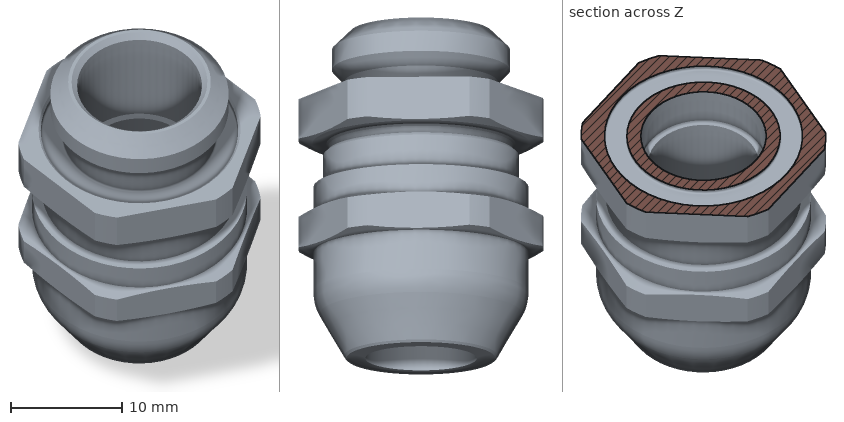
import cadquery as cq
import math


TOTAL_HEIGHT = 29.9
CAP_HEX_BOTTOM = 9.67
CAP_HEX_TOP = 13.2
CAP_TOP = 15.7
BODY_TOP = 18.9
BODY_HEX_BOTTOM = 19.7
BODY_HEX_TOP = 23.65
DOME_TOP = 6.07

CAP_RADIUS = 9.66
BODY_RADIUS = 8.78
RELIEF_RADIUS = 8.23
SPIGOT_RADIUS = 6.9
RIM_RADIUS = 8.0
RIM_TOP_RADIUS = 6.4
ENTRY_BORE_RADIUS = 5.6
THROUGH_BORE_RADIUS = 5.0

HEX_ACROSS_FLATS = 20.0
HEX_HALF_ANGLE = math.radians(30)
HEX_CORNER_RADIUS = 11.0
HEX_CHAMFER_ANGLE = math.radians(15)
BODY_HEX_FACE_RADIUS = 9.75

DOME_RADIUS = 4.0
CAP_CONE_ANGLE = math.radians(30)
CAP_END_CHAMFER = 0.2

BODY_CHAMFER = 0.3
RELIEF_CHAMFER = 0.18
RIM_TOP_DROP = 1.57
RIM_WIDTH = 1.85
BORE_CHAMFER = 0.49

RECESS_DEPTH = 0.75
RECESS_RADIUS = 8.86
RECESS_CHAMFER = 0.2
RECESS_FILLET = 0.18


def profile_start(radius, z):
    """Start a half profile in the XZ plane, where local x is radius and local y is Z."""
    return cq.Workplane("XZ").moveTo(radius, z)


def spin(profile):
    """Close a half profile and revolve it around the Z axis."""
    return profile.close().revolve(360, (0, 0, 0), (0, 1, 0))


def arc_inset(radius):
    """Distance from each of the two tangent sides of a quarter arc to the middle of the arc."""
    return radius * (1 - math.sqrt(0.5))


def cap_nut():
    """Domed cap nut without its hexagon."""
    dome_bottom = DOME_TOP - DOME_RADIUS * math.sin(CAP_CONE_ANGLE)
    dome_bottom_radius = CAP_RADIUS - DOME_RADIUS * (1 - math.cos(CAP_CONE_ANGLE))
    half_angle = CAP_CONE_ANGLE / 2
    dome_middle = (
        CAP_RADIUS - DOME_RADIUS * (1 - math.cos(half_angle)),
        DOME_TOP - DOME_RADIUS * math.sin(half_angle),
    )
    cone_height = dome_bottom - CAP_END_CHAMFER
    cone_end_radius = dome_bottom_radius - cone_height * math.tan(CAP_CONE_ANGLE)
    profile = (
        profile_start(0, 0)
        .lineTo(cone_end_radius - CAP_END_CHAMFER, 0)
        .lineTo(cone_end_radius, CAP_END_CHAMFER)
        .lineTo(dome_bottom_radius, dome_bottom)
        .threePointArc(dome_middle, (CAP_RADIUS, DOME_TOP))
        .lineTo(CAP_RADIUS, CAP_TOP)
        .lineTo(0, CAP_TOP)
    )
    return spin(profile)


def body_barrel():
    """Cylindrical body with its chamfered edge and the relief groove under the hexagon."""
    chamfer_radius = BODY_RADIUS - BODY_CHAMFER
    groove_top = BODY_HEX_BOTTOM - RELIEF_CHAMFER
    lower_arc_radius = chamfer_radius - RELIEF_RADIUS
    lower_arc_inset = arc_inset(lower_arc_radius)
    groove_top_radius = RELIEF_RADIUS + RELIEF_CHAMFER / 2
    profile = (
        profile_start(0, CAP_TOP)
        .lineTo(BODY_RADIUS, CAP_TOP)
        .lineTo(BODY_RADIUS, BODY_TOP - BODY_CHAMFER)
        .lineTo(chamfer_radius, BODY_TOP)
        .threePointArc(
            (RELIEF_RADIUS + lower_arc_inset, BODY_TOP + lower_arc_inset),
            (RELIEF_RADIUS, BODY_TOP + lower_arc_radius),
        )
        .tangentArcPoint((groove_top_radius, groove_top), relative=False)
        .lineTo(groove_top_radius + RELIEF_CHAMFER, BODY_HEX_BOTTOM)
        .lineTo(0, BODY_HEX_BOTTOM)
    )
    return spin(profile)


def spigot():
    """Entry spigot: narrow neck and a rim with a cone above and below."""
    base = BODY_HEX_TOP - RECESS_DEPTH
    rim_top = TOTAL_HEIGHT - RIM_TOP_DROP
    rim_bottom = rim_top - RIM_WIDTH
    neck_top = rim_bottom - (RIM_RADIUS - SPIGOT_RADIUS)
    fillet_inset = arc_inset(RECESS_FILLET)
    profile = (
        profile_start(0, base)
        .lineTo(SPIGOT_RADIUS + RECESS_FILLET, base)
        .threePointArc(
            (SPIGOT_RADIUS + fillet_inset, base + fillet_inset),
            (SPIGOT_RADIUS, base + RECESS_FILLET),
        )
        .lineTo(SPIGOT_RADIUS, neck_top)
        .lineTo(RIM_RADIUS, rim_bottom)
        .lineTo(RIM_RADIUS, rim_top)
        .lineTo(RIM_TOP_RADIUS, TOTAL_HEIGHT)
        .lineTo(0, TOTAL_HEIGHT)
    )
    return spin(profile)


def hexagon(bottom, top, bottom_face_radius, top_face_radius):
    """Hexagon with corners on X, cut to a turned blank whose ends are coned beyond the face radii."""
    corner_diameter = HEX_ACROSS_FLATS / math.cos(HEX_HALF_ANGLE)
    prism = cq.Workplane("XY").workplane(offset=bottom).polygon(6, corner_diameter).extrude(top - bottom)
    slope = math.tan(HEX_CHAMFER_ANGLE)
    bottom_rise = (HEX_CORNER_RADIUS - bottom_face_radius) * slope
    top_drop = (HEX_CORNER_RADIUS - top_face_radius) * slope
    blank = profile_start(0, bottom).lineTo(bottom_face_radius, bottom)
    blank = blank.lineTo(HEX_CORNER_RADIUS, bottom + bottom_rise)
    blank = blank.lineTo(HEX_CORNER_RADIUS, top - top_drop)
    if top_drop > 0:
        blank = blank.lineTo(top_face_radius, top)
    return prism.intersect(spin(blank.lineTo(0, top)))


def seal_recess():
    """Round recess in the top face of the body hexagon, with a chamfered mouth and a filleted floor."""
    floor = BODY_HEX_TOP - RECESS_DEPTH
    fillet_inset = arc_inset(RECESS_FILLET)
    profile = (
        profile_start(0, floor)
        .lineTo(RECESS_RADIUS - RECESS_FILLET, floor)
        .threePointArc(
            (RECESS_RADIUS - fillet_inset, floor + fillet_inset),
            (RECESS_RADIUS, floor + RECESS_FILLET),
        )
        .lineTo(RECESS_RADIUS, BODY_HEX_TOP - RECESS_CHAMFER)
        .lineTo(RECESS_RADIUS + RECESS_CHAMFER, BODY_HEX_TOP)
        .lineTo(0, BODY_HEX_TOP)
    )
    return spin(profile)


def stepped_bore():
    """Through bore, widened from the underside of the body hexagon up to a chamfered mouth."""
    profile = (
        profile_start(0, 0)
        .lineTo(THROUGH_BORE_RADIUS, 0)
        .lineTo(THROUGH_BORE_RADIUS, BODY_HEX_BOTTOM)
        .lineTo(ENTRY_BORE_RADIUS, BODY_HEX_BOTTOM)
        .lineTo(ENTRY_BORE_RADIUS, TOTAL_HEIGHT - BORE_CHAMFER)
        .lineTo(ENTRY_BORE_RADIUS + BORE_CHAMFER, TOTAL_HEIGHT)
        .lineTo(0, TOTAL_HEIGHT)
    )
    return spin(profile)


cap_hexagon = hexagon(CAP_HEX_BOTTOM, CAP_HEX_TOP, CAP_RADIUS, CAP_RADIUS)
body_hexagon = hexagon(BODY_HEX_BOTTOM, BODY_HEX_TOP, BODY_HEX_FACE_RADIUS, HEX_CORNER_RADIUS)
body_hexagon = body_hexagon.cut(seal_recess())

result = cap_nut().union(cap_hexagon).union(body_barrel()).union(body_hexagon).union(spigot())
result = result.cut(stepped_bore())